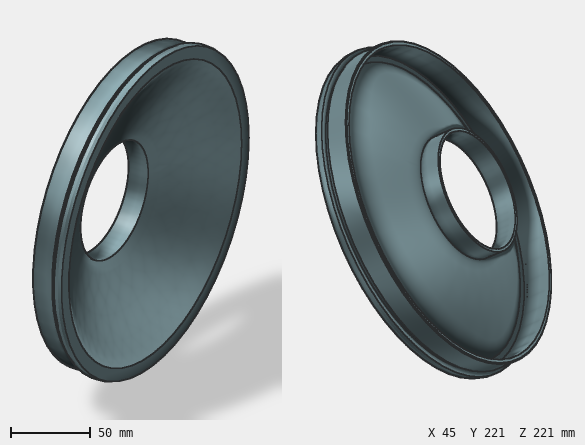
import cadquery as cq
import math

total_length = 45.0
hub_length = 13.7
rim_start = 22.3
rim_end = 37.0
flange_start = 40.0
floor_start = 42.0

flange_radius = 110.5
rim_radius = 108.3
groove_radius = 106.3
rim_bore_radius = 105.5
dish_outer_radius = 101.2
hub_radius = 41.5
wall = 2.0
hub_bore_radius = hub_radius - wall

rim_chamfer = 0.7
flange_taper_length = 2.5
flange_taper_depth = 0.7

dish_bow = 2.7


def bowed_midpoint(start, end, bow):
    """Midpoint of an arc whose chord is pushed toward the hub side by bow."""
    dx = end[0] - start[0]
    dr = end[1] - start[1]
    chord = math.hypot(dx, dr)
    mid_x = (start[0] + end[0]) / 2 - bow * dr / chord
    mid_r = (start[1] + end[1]) / 2 + bow * dx / chord
    return mid_x, mid_r


dish_front_inner = (hub_length, hub_radius)
dish_front_outer = (floor_start, dish_outer_radius)
dish_back_inner = (hub_length + wall / 2, hub_bore_radius)
dish_back_outer = (total_length, dish_outer_radius)

section = (
    cq.Workplane("XY")
    .moveTo(0, hub_bore_radius)
    .lineTo(0, hub_radius)
    .lineTo(*dish_front_inner)
    .threePointArc(bowed_midpoint(dish_front_inner, dish_front_outer, dish_bow), dish_front_outer)
    .lineTo(floor_start, rim_bore_radius)
    .lineTo(rim_start, rim_bore_radius)
    .lineTo(rim_start, rim_radius - rim_chamfer)
    .lineTo(rim_start + rim_chamfer, rim_radius)
    .lineTo(rim_end, rim_radius)
    .lineTo(rim_end, groove_radius)
    .lineTo(flange_start, groove_radius)
    .lineTo(flange_start, flange_radius)
    .lineTo(total_length - flange_taper_length, flange_radius)
    .lineTo(total_length, flange_radius - flange_taper_depth)
    .lineTo(*dish_back_outer)
    .threePointArc(bowed_midpoint(dish_back_inner, dish_back_outer, dish_bow), dish_back_inner)
    .close()
)

result = section.revolve(360, (0, 0, 0), (1, 0, 0))